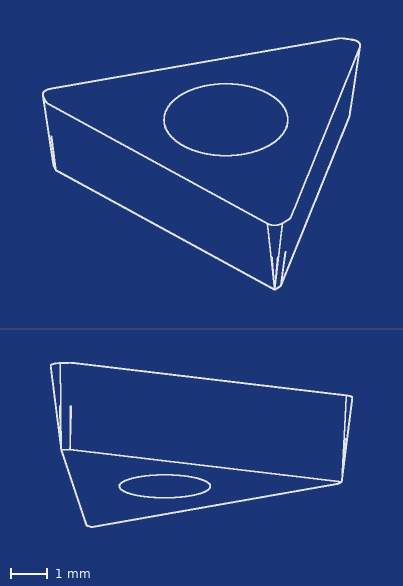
import cadquery as cq
import math

height = 2.38
relief_angle = 7.0
side_distance = 2.78
corner_distance = 4.46

mouth_radius = 1.69
neck_radius = 1.65
neck_depth = 0.37
seat_radius = 1.575
seat_depth = 0.61
curve_radius = 1.56
curve_depth = 0.69
bore_radius = 1.24
bore_depth = 1.77

flank_lean = height * math.tan(math.radians(relief_angle))
base_side = side_distance - flank_lean
base_corner = corner_distance - flank_lean


def rotate_point(point, degrees):
    angle = math.radians(degrees)
    x, y = point
    return (
        x * math.cos(angle) - y * math.sin(angle),
        x * math.sin(angle) + y * math.cos(angle),
    )


def make_base_outline():
    """Triangle with one short flat, square to the preceding side, at each corner."""
    square_corner = (-base_side, -base_corner)
    blunt_corner = (2 * base_side - math.sqrt(3) * base_corner, -base_corner)
    points = []
    for turn in (0, 120, 240):
        points.append(rotate_point(square_corner, turn))
        points.append(rotate_point(blunt_corner, turn))
    return points


def make_body():
    """Sharp at the base; the outward taper opens each corner into a cone."""
    return cq.Workplane("XY").polyline(make_base_outline()).close().extrude(height, taper=-relief_angle)


def make_screw_hole():
    """Stepped mouth, then a curved screw seat that runs tangent into the bore."""
    seat_width = curve_radius - bore_radius
    seat_length = bore_depth - curve_depth
    arc_radius = (seat_width**2 + seat_length**2) / (2 * seat_width)
    half_length = seat_length / 2
    arc_middle = (
        bore_radius + arc_radius - math.sqrt(arc_radius**2 - half_length**2),
        height - bore_depth + half_length,
    )
    return (
        cq.Workplane("XZ")
        .moveTo(0, 0)
        .lineTo(0, height)
        .lineTo(mouth_radius, height)
        .lineTo(neck_radius, height - neck_depth)
        .lineTo(seat_radius, height - seat_depth)
        .lineTo(curve_radius, height - curve_depth)
        .threePointArc(arc_middle, (bore_radius, height - bore_depth))
        .lineTo(bore_radius, 0)
        .close()
        .revolve(360, (0, 0, 0), (0, 1, 0))
    )


result = make_body().cut(make_screw_hole())